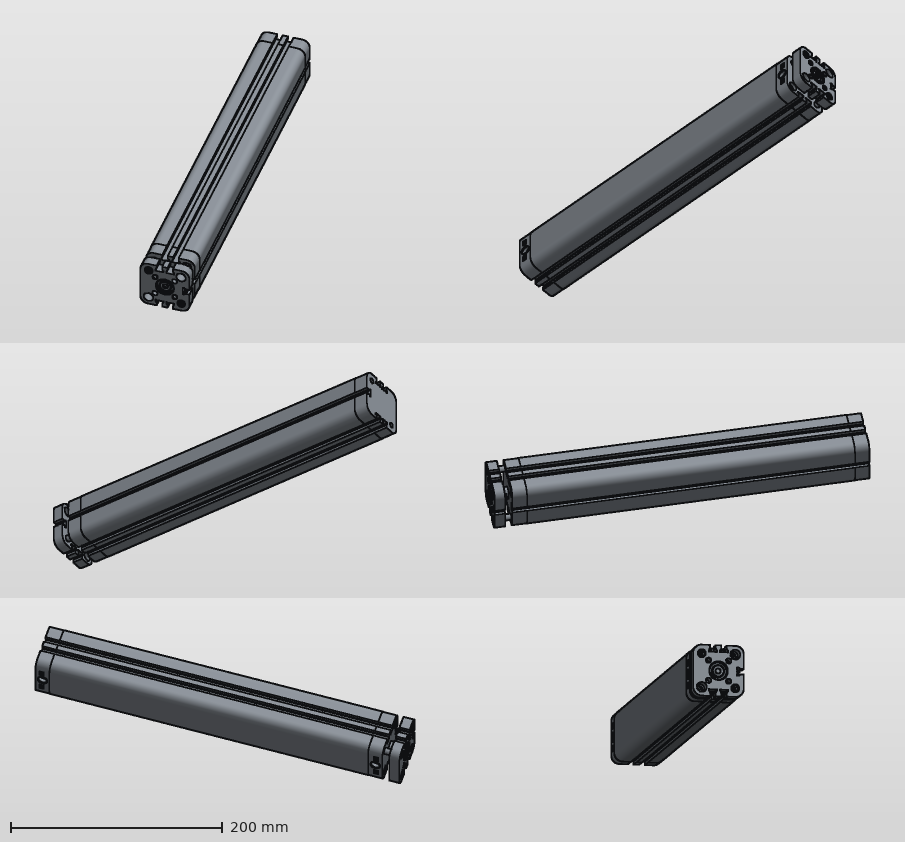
import cadquery as cq


length = 360.2
side = 49.0
corner_radius = 8.0
plate_thickness = 10.0
plate_gap = 7.0
cap_length = 14.0
cap_inset = 0.15

half_side = side / 2
plate_front = -length / 2
plate_back = plate_front + plate_thickness
body_front = plate_back + plate_gap
body_back = length / 2
barrel_front = body_front + cap_length
barrel_back = body_back - cap_length

slot_mouth = 5.5
slot_width = 8.0
slot_depth = 6.5
slot_neck_depth = 3.2
slot_shoulder_depth = 5.5
slot_offset = 5.5

corner_offset = 16.2
access_hole_diameter = 9.5
cap_recess_diameter = 9.0
cap_recess_depth = 3.5
through_bore_diameter = 5.0
guide_rod_diameter = 6.0
guide_screw_diameter = 7.5
guide_screw_depth = 1.0
guide_socket_diameter = 6.0
guide_socket_depth = 3.0
guide_center_diameter = 2.5
guide_center_depth = 4.5

pin_offset = 9.7
pin_hole_diameter = 5.0
threaded_hole_diameter = 4.0
threaded_hole_sink_depth = 0.7

rod_diameter = 12.0
rod_end_chamfer = 1.0
rod_flat_width = 9.5
rod_flat_length = 5.0
screw_recess_diameter = 16.5
screw_recess_depth = 3.5
screw_recess_chamfer = 0.7
screw_head_diameter = 12.0
screw_head_height = 2.0
screw_head_chamfer = 0.7
screw_socket_diameter = 5.0
screw_socket_depth = 1.8

port_diameter = 9.5
port_sink_depth = 1.0
port_thread_diameter = 8.5
port_depth = 5.5
port_passage_diameter = 2.5
port_passage_shift = 2.5
port_passage_depth = 9.0

pocket_offset = 10.8
pocket_length = 4.5
pocket_height = 5.5
pocket_depth = 0.5
pocket_socket_diameter = 2.5
pocket_socket_depth = 1.0
pocket_shift = 0.7


def cylinder_y(diameter, y_start, height, x=0.0, z=0.0):
    """Cylinder running along +Y from y_start."""
    start = cq.Vector(x, y_start, z)
    return cq.Workplane(cq.Solid.makeCylinder(diameter / 2, height, start, cq.Vector(0, 1, 0)))


def cylinder_from_left(diameter, depth, y, z=0.0):
    """Cylinder running from the left side face into the part."""
    start = cq.Vector(-half_side, y, z)
    return cq.Workplane(cq.Solid.makeCylinder(diameter / 2, depth, start, cq.Vector(1, 0, 0)))


def rounded_block(y_start, y_end, width):
    """Square block along Y with rounded long edges."""
    block = cq.Workplane("XY").box(width, y_end - y_start, width).edges("|Y").fillet(corner_radius)
    return block.translate((0, (y_start + y_end) / 2, 0))


def t_slot(offset, turn):
    """T-slot over the full length, laid in the top side and turned about the Y axis."""
    half_mouth = slot_mouth / 2
    half_width = slot_width / 2
    right_half = [
        (half_mouth, half_side),
        (half_mouth, half_side - slot_neck_depth),
        (half_width, half_side - slot_shoulder_depth),
        (half_width, half_side - slot_depth),
    ]
    left_half = [(-x, z) for x, z in reversed(right_half)]
    outline = [(x + offset, z) for x, z in right_half + left_half]
    slot = cq.Workplane("XZ", origin=(0, body_back, 0)).polyline(outline).close().extrude(length)
    return slot.rotate((0, 0, 0), (0, 1, 0), turn)


def piston_rod():
    """Visible rod length with two wrench flats and a chamfered end at the plate."""
    rod = cylinder_y(rod_diameter, plate_back, plate_gap).faces("<Y").chamfer(rod_end_chamfer)
    flat_end = cq.Workplane("XY").box(rod_flat_width, rod_flat_length, rod_diameter)
    flat_end = flat_end.translate((0, plate_back + rod_flat_length / 2, 0))
    round_end = cylinder_y(rod_diameter, plate_back + rod_flat_length, plate_gap - rod_flat_length)
    return rod.intersect(flat_end.union(round_end))


def screw_recess():
    """Chamfered recess in the plate, less the screw head standing on its floor."""
    recess = cylinder_y(screw_recess_diameter, plate_front, screw_recess_depth)
    mouth_diameter = screw_recess_diameter + 2 * screw_recess_chamfer
    mouth = cylinder_y(mouth_diameter, plate_front, 2 * screw_recess_chamfer)
    mouth = mouth.faces(">Y").chamfer(screw_recess_chamfer)
    head_start = plate_front + screw_recess_depth - screw_head_height
    head = cylinder_y(screw_head_diameter, head_start, screw_head_height)
    head = head.faces("<Y").chamfer(screw_head_chamfer)
    head = head.cut(cylinder_y(screw_socket_diameter, head_start, screw_socket_depth))
    return recess.union(mouth).cut(head)


def cap_side_features(y, inward):
    """Port with its passage, and two shallow pockets; inward points along Y to the barrel."""
    cutter = cylinder_from_left(port_diameter, port_sink_depth, y)
    cutter = cutter.union(cylinder_from_left(port_thread_diameter, port_depth, y))
    passage_y = y + inward * port_passage_shift
    cutter = cutter.union(cylinder_from_left(port_passage_diameter, port_passage_depth, passage_y))
    for z in (-pocket_offset, pocket_offset):
        pocket_y = y - inward * pocket_shift
        pocket = cq.Workplane("XY").box(2 * pocket_depth, pocket_length, pocket_height)
        cutter = cutter.union(pocket.translate((-half_side, pocket_y, z)))
        cutter = cutter.union(cylinder_from_left(pocket_socket_diameter, pocket_socket_depth, pocket_y, z))
    return cutter


result = rounded_block(barrel_front, barrel_back, side)
result = result.union(rounded_block(body_front, barrel_front, side - 2 * cap_inset))
result = result.union(rounded_block(barrel_back, body_back, side - 2 * cap_inset))
result = result.union(rounded_block(plate_front, plate_back, side))
result = result.union(piston_rod())
for sign in (-1, 1):
    corner = sign * corner_offset
    result = result.union(cylinder_y(guide_rod_diameter, plate_back, plate_gap, corner, -corner))

for offset, turn in ((-slot_offset, 0), (slot_offset, 0), (0, 90), (-slot_offset, 180), (slot_offset, 180)):
    result = result.cut(t_slot(offset, turn))

for sign in (-1, 1):
    corner = sign * corner_offset
    pin = sign * pin_offset
    holes = (
        (through_bore_diameter, length, corner, corner),
        (access_hole_diameter, plate_thickness, corner, corner),
        (cap_recess_diameter, body_front - plate_front + cap_recess_depth, corner, corner),
        (guide_screw_diameter, guide_screw_depth, corner, -corner),
        (guide_socket_diameter, guide_socket_depth, corner, -corner),
        (guide_center_diameter, guide_center_depth, corner, -corner),
        (pin_hole_diameter, plate_thickness, pin, pin),
        (pin_hole_diameter, threaded_hole_sink_depth, pin, -pin),
        (threaded_hole_diameter, plate_thickness, pin, -pin),
    )
    for diameter, depth, x, z in holes:
        result = result.cut(cylinder_y(diameter, plate_front, depth, x, z))

result = result.cut(screw_recess())
result = result.cut(cap_side_features(body_front + cap_length / 2, 1))
result = result.cut(cap_side_features(body_back - cap_length / 2, -1))